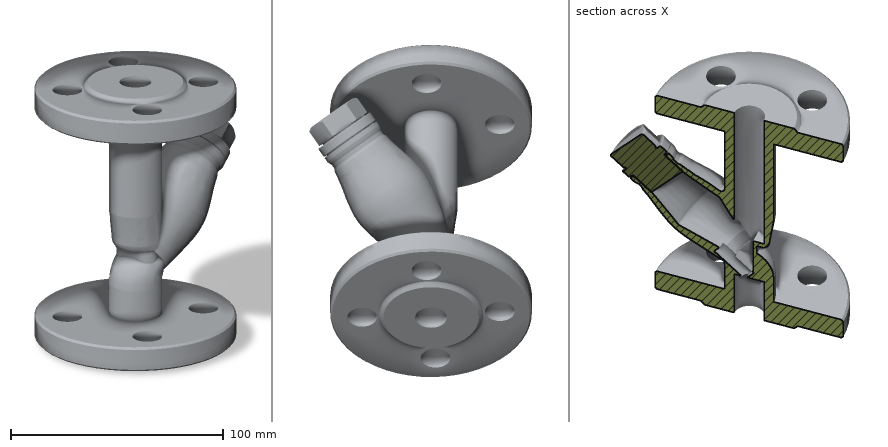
import cadquery as cq
import math

HALF_LENGTH = 65.0

FLANGE_DIAMETER = 95.0
FLANGE_THICKNESS = 12.0
FLANGE_CHAMFER = 1.0
RAISED_FACE_HEIGHT = 2.0
RAISED_FACE_DIAMETER = 45.0
BOLT_CIRCLE_DIAMETER = 65.0
BOLT_HOLE_DIAMETER = 14.0
BOLT_HOLE_COUNT = 4
FIRST_BOLT_ANGLE = 45.0

PIPE_DIAMETER = 25.0
PIPE_RADIUS = PIPE_DIAMETER / 2
BORE_DIAMETER = 15.0

LEAN_TOP_Z = 1.2
LEAN_END_Z = -14.0
LEAN_SHIFT = 2.0
LEAN_END_RADIUS = 12.3
LIP_ROUND = 5.0

NECK_WIDTH = 22.0
NECK_DEPTH = 16.0
NECK_CORNER_RADIUS = 6.0
NECK_FRONT_Y = -4.0
NECK_BOTTOM_Z = -24.0
NECK_TOP_Z = -16.0

ELBOW_Z = -35.8
ELBOW_ROUND = 14.8

ROUND_SWEEP = 69.0
ROUND_STEPS = 6

BRANCH_Z = -26.2
BRANCH_ANGLE = 40.0

BRANCH_START = 5.0
BRANCH_START_RADIUS = 13.4
BULGE_START = 10.0
BULGE_START_RADIUS = 14.9
LOWER_FLANK = 22.4
LOWER_FLANK_RADIUS = 18.1
BULGE_MIDDLE = 33.0
BULGE_RADIUS = 19.6
UPPER_FLANK = 46.0
UPPER_FLANK_RADIUS = 17.4
BULGE_END = 57.7
BULGE_END_RADIUS = 14.8
GROOVE_START = 59.2
GROOVE_END = 61.2
GROOVE_RADIUS = 14.1
RIM_START = 62.0
RIM_START_RADIUS = 14.5
RIM_TAPER_END = 63.5
RIM_RADIUS = 15.0
RIM_END = 65.8

SEAM_FILLET = 2.0
SEAM_MARGIN = 0.1
SEAM_BACK_Y = 18.0
SEAM_TOP_Z = 12.0

CHAMBER_START = 4.0
CHAMBER_START_RADIUS = 8.0
CHAMBER_CONE_START = 10.0
CHAMBER_RADIUS = 16.0
PLUG_SEAT_START = 54.0
PLUG_RADIUS = 12.0

INLET_BORE_END_Z = -15.0
THROAT_FRONT_Y = -2.0
THROAT_FLOOR_OFFSET = -5.5
OUTLET_BORE_END_Z = -40.0
PORT_DIAMETER = 7.0
PORT_Z = -38.5
PORT_LENGTH = 20.0

GASKET_DIAMETER = 27.0
GASKET_THICKNESS = 0.5
COLLAR_DIAMETER = 30.0
COLLAR_LENGTH = 4.7
COLLAR_CHAMFER = 0.3
RELIEF_DIAMETER = 24.0
RELIEF_LENGTH = 0.8
HEX_ACROSS_FLATS = 24.0
HEX_LENGTH = 9.35
HEX_TURN = -20.0
HEX_CHAMFER_ANGLE = 30.0

COLLAR_START = RIM_END + GASKET_THICKNESS
RELIEF_START = COLLAR_START + COLLAR_LENGTH
HEX_START = RELIEF_START + RELIEF_LENGTH
HEX_END = HEX_START + HEX_LENGTH

BRANCH_COS = math.cos(math.radians(BRANCH_ANGLE))
BRANCH_SIN = math.sin(math.radians(BRANCH_ANGLE))
BRANCH_DIRECTION = cq.Vector(0, BRANCH_COS, BRANCH_SIN)


def branch_plane(station):
    """Plane square to the branch axis, its local Y pointing up and away from +Y."""
    origin = cq.Vector(0, 0, BRANCH_Z) + BRANCH_DIRECTION * station
    return cq.Plane(origin=origin, xDir=(-1, 0, 0), normal=BRANCH_DIRECTION)


def branch_profile_plane():
    """Plane through the branch axis: local X is radius, local Y is station."""
    return cq.Plane(origin=(0, 0, BRANCH_Z), xDir=(1, 0, 0), normal=(0, -BRANCH_SIN, BRANCH_COS))


def branch_cylinder(start, end, radius):
    return cq.Workplane(branch_plane(start)).circle(radius).extrude(end - start)


def revolve_on_branch(profile):
    return profile.close().revolve(360, (0, 0), (0, 1))


def upright_cylinder(bottom, top, radius):
    return cq.Workplane("XY").workplane(offset=bottom).circle(radius).extrude(top - bottom)


def make_flange():
    """Flange at the top end, raised face up."""
    face_z = HALF_LENGTH - RAISED_FACE_HEIGHT
    disc = upright_cylinder(face_z - FLANGE_THICKNESS, face_z, FLANGE_DIAMETER / 2)
    disc = disc.edges().chamfer(FLANGE_CHAMFER)
    tip_radius = RAISED_FACE_DIAMETER / 2
    raised_face = cq.Workplane(
        obj=cq.Solid.makeCone(tip_radius + RAISED_FACE_HEIGHT, tip_radius, RAISED_FACE_HEIGHT)
    ).translate((0, 0, face_z))
    holes = (
        cq.Workplane("XY")
        .workplane(offset=face_z - FLANGE_THICKNESS)
        .polarArray(BOLT_CIRCLE_DIAMETER / 2, FIRST_BOLT_ANGLE, 360, BOLT_HOLE_COUNT)
        .circle(BOLT_HOLE_DIAMETER / 2)
        .extrude(FLANGE_THICKNESS)
    )
    return disc.union(raised_face).cut(holes)


def stacked_circles(levels):
    """Smooth body through level circles, each given as (z, shift toward +Y, radius)."""
    wires = [
        cq.Wire.makeCircle(radius, cq.Vector(0, shift, z), cq.Vector(0, 0, 1))
        for z, shift, radius in levels
    ]
    return cq.Workplane(obj=cq.Solid.makeLoft(wires))


def rounded_end(start_z, start_shift, start_lean, radius, round_radius, up):
    """Level circles whose fronts follow an arc toward the branch.

    start_lean is the lean of the front at the start, in degrees; up is 1 or -1.
    """
    first = math.radians(start_lean)
    last = math.radians(ROUND_SWEEP)
    levels = []
    for step in range(ROUND_STEPS + 1):
        angle = first + (last - first) * step / ROUND_STEPS
        z = start_z + up * round_radius * (math.sin(angle) - math.sin(first))
        shift = start_shift + round_radius * (math.cos(first) - math.cos(angle))
        levels.append((z, shift, radius))
    return levels


def make_upper_pipe():
    straight = upright_cylinder(LEAN_TOP_Z, HALF_LENGTH - FLANGE_THICKNESS, PIPE_RADIUS)
    lean = stacked_circles([(LEAN_TOP_Z, 0, PIPE_RADIUS), (LEAN_END_Z, LEAN_SHIFT, LEAN_END_RADIUS)])
    front_shift = LEAN_SHIFT + PIPE_RADIUS - LEAN_END_RADIUS
    lean_angle = math.degrees(math.atan2(front_shift, LEAN_TOP_Z - LEAN_END_Z))
    lip = rounded_end(LEAN_END_Z, LEAN_SHIFT, lean_angle, LEAN_END_RADIUS, LIP_ROUND, -1)
    return straight.union(lean).union(stacked_circles(lip))


def make_neck():
    height = NECK_TOP_Z - NECK_BOTTOM_Z
    block = cq.Workplane("XY").box(NECK_WIDTH, NECK_DEPTH, height).edges("|Z").fillet(NECK_CORNER_RADIUS)
    return block.translate((0, NECK_FRONT_Y + NECK_DEPTH / 2, NECK_BOTTOM_Z + height / 2))


def make_lower_pipe():
    straight = upright_cylinder(FLANGE_THICKNESS - HALF_LENGTH, ELBOW_Z, PIPE_RADIUS)
    elbow = stacked_circles(rounded_end(ELBOW_Z, 0, 0, PIPE_RADIUS, ELBOW_ROUND, 1))
    return straight.union(elbow)


def make_branch():
    """Bulged branch with a groove and a rim at its outer end."""
    bulge = [
        (LOWER_FLANK_RADIUS, LOWER_FLANK),
        (BULGE_RADIUS, BULGE_MIDDLE),
        (UPPER_FLANK_RADIUS, UPPER_FLANK),
        (BULGE_END_RADIUS, BULGE_END),
    ]
    profile = (
        cq.Workplane(branch_profile_plane())
        .moveTo(0, BRANCH_START)
        .lineTo(BRANCH_START_RADIUS, BRANCH_START)
        .lineTo(BULGE_START_RADIUS, BULGE_START)
        .spline(bulge, includeCurrent=True)
        .lineTo(GROOVE_RADIUS, GROOVE_START)
        .lineTo(GROOVE_RADIUS, GROOVE_END)
        .lineTo(RIM_START_RADIUS, RIM_START)
        .lineTo(RIM_RADIUS, RIM_TAPER_END)
        .lineTo(RIM_RADIUS, RIM_END)
        .lineTo(0, RIM_END)
    )
    return revolve_on_branch(profile)


def make_chamber():
    """Hollow of the branch, with the plain bore that holds the plug."""
    profile = (
        cq.Workplane(branch_profile_plane())
        .moveTo(0, CHAMBER_START)
        .lineTo(CHAMBER_START_RADIUS, CHAMBER_START)
        .lineTo(CHAMBER_START_RADIUS, CHAMBER_CONE_START)
        .lineTo(CHAMBER_RADIUS, BULGE_MIDDLE)
        .lineTo(PLUG_RADIUS, PLUG_SEAT_START)
        .lineTo(PLUG_RADIUS, RIM_END)
        .lineTo(0, RIM_END)
    )
    return revolve_on_branch(profile)


def make_throat():
    """Inlet bore below its ledge: flat front, floor sloping up along the branch."""
    bore = upright_cylinder(ELBOW_Z, INLET_BORE_END_Z, BORE_DIAMETER / 2)
    behind_ledge = cq.Workplane("XY").box(BORE_DIAMETER, BORE_DIAMETER, 2 * HALF_LENGTH)
    behind_ledge = behind_ledge.translate((0, THROAT_FRONT_Y + BORE_DIAMETER / 2, 0))
    up = cq.Vector(0, -BRANCH_SIN, BRANCH_COS)
    floor_origin = cq.Vector(0, 0, BRANCH_Z) + up * THROAT_FLOOR_OFFSET
    floor_plane = cq.Plane(origin=floor_origin, xDir=(1, 0, 0), normal=up)
    above_floor = cq.Workplane(floor_plane).rect(HALF_LENGTH, HALF_LENGTH).extrude(HALF_LENGTH)
    return bore.intersect(behind_ledge).intersect(above_floor)


def make_passages():
    inlet = upright_cylinder(INLET_BORE_END_Z, HALF_LENGTH, BORE_DIAMETER / 2)
    outlet = upright_cylinder(-HALF_LENGTH, OUTLET_BORE_END_Z, BORE_DIAMETER / 2)
    port_plane = cq.Plane(origin=(0, 0, PORT_Z), xDir=(-1, 0, 0), normal=BRANCH_DIRECTION)
    port = cq.Workplane(port_plane).circle(PORT_DIAMETER / 2).extrude(PORT_LENGTH)
    return inlet.union(outlet).union(port)


def blend_seam(body):
    """Fillet the edges where the back of the upper pipe meets the branch."""
    seam_box = cq.selectors.BoxSelector(
        (-PIPE_RADIUS - SEAM_MARGIN, LEAN_SHIFT + SEAM_MARGIN, LEAN_END_Z - SEAM_MARGIN),
        (PIPE_RADIUS + SEAM_MARGIN, SEAM_BACK_Y, SEAM_TOP_Z),
        boundingbox=True,
    )
    return body.edges(seam_box).fillet(SEAM_FILLET)


def make_housing():
    top_flange = make_flange()
    bottom_flange = top_flange.mirror("XY")
    pipe = make_upper_pipe().union(make_neck()).union(make_lower_pipe())
    outside = blend_seam(pipe.union(make_branch()))
    hollow = outside.cut(make_chamber()).cut(make_throat()).cut(make_passages())
    bore = upright_cylinder(-HALF_LENGTH, HALF_LENGTH, BORE_DIAMETER / 2)
    return hollow.union(top_flange.cut(bore)).union(bottom_flange.cut(bore))


def make_gasket():
    ring = branch_cylinder(RIM_END, COLLAR_START, GASKET_DIAMETER / 2)
    return ring.cut(branch_cylinder(RIM_END, COLLAR_START, PLUG_RADIUS))


def make_hex_head():
    """Hexagon with its outer corners turned down to a circle as wide as the flats."""
    corner_diameter = HEX_ACROSS_FLATS / math.cos(math.radians(30))
    hexagon = (
        cq.Workplane(branch_plane(HEX_START))
        .transformed(rotate=(0, 0, HEX_TURN))
        .polygon(6, corner_diameter)
        .extrude(HEX_LENGTH)
    )
    corner_radius = corner_diameter / 2
    flat_radius = HEX_ACROSS_FLATS / 2
    drop = (corner_radius - flat_radius) * math.tan(math.radians(HEX_CHAMFER_ANGLE))
    envelope = (
        cq.Workplane(branch_profile_plane())
        .moveTo(0, HEX_START)
        .lineTo(corner_radius, HEX_START)
        .lineTo(corner_radius, HEX_END - drop)
        .lineTo(flat_radius, HEX_END)
        .lineTo(0, HEX_END)
    )
    return hexagon.intersect(revolve_on_branch(envelope))


def make_plug():
    spigot = branch_cylinder(PLUG_SEAT_START, COLLAR_START, PLUG_RADIUS)
    collar = branch_cylinder(COLLAR_START, RELIEF_START, COLLAR_DIAMETER / 2)
    collar = collar.edges().chamfer(COLLAR_CHAMFER)
    relief = branch_cylinder(RELIEF_START, HEX_START, RELIEF_DIAMETER / 2)
    return collar.union(spigot).union(relief).union(make_hex_head())


housing = make_housing()
gasket = make_gasket()
plug = make_plug()

result = cq.Compound.makeCompound([housing.val(), gasket.val(), plug.val()])